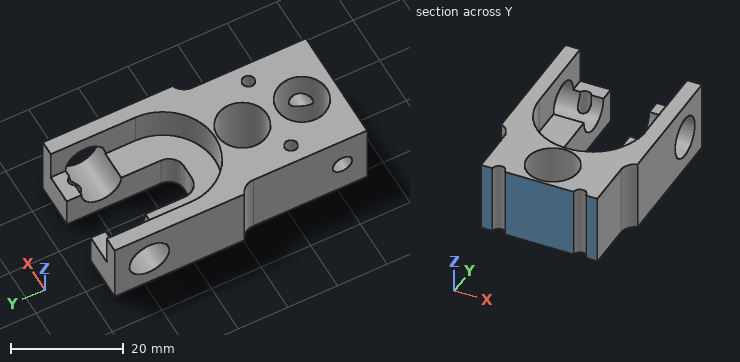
import cadquery as cq
import math

length = 52.0
height = 14.0
fork_width = 27.0
shank_width = 23.0

shoulder_start_y = 23.0
shoulder_radius = 3.0

pocket_width = 21.0
pocket_end_y = 24.5
pocket_floor_z = height / 2

slot_width = 9.0
slot_end_y = 30.0
slot_corner_radius = 3.0
slot_floor_z = 0.0

large_hole_diameter = 10.0
large_hole_ys = (7.0, 19.0)
small_hole_diameter = 2.4
small_hole_spacing_x = 16.0
small_hole_ys = (13.5, 48.5)

cross_hole_z = height / 2
pivot_diameter = 8.0
pivot_y = 45.0
pin_diameter = 3.9
pin_y = 5.0


def make_body():
    half_fork = fork_width / 2
    half_shank = shank_width / 2
    step = half_fork - half_shank
    sweep = math.acos((shoulder_radius - step) / shoulder_radius)
    shoulder_end_y = shoulder_start_y + shoulder_radius * math.sin(sweep)
    arc_center_x = half_shank + shoulder_radius
    arc_mid_x = arc_center_x - shoulder_radius * math.cos(sweep / 2)
    arc_mid_y = shoulder_start_y + shoulder_radius * math.sin(sweep / 2)
    return (
        cq.Workplane("XY")
        .moveTo(-half_shank, 0)
        .lineTo(half_shank, 0)
        .lineTo(half_shank, shoulder_start_y)
        .threePointArc((arc_mid_x, arc_mid_y), (half_fork, shoulder_end_y))
        .lineTo(half_fork, length)
        .lineTo(-half_fork, length)
        .lineTo(-half_fork, shoulder_end_y)
        .threePointArc((-arc_mid_x, arc_mid_y), (-half_shank, shoulder_start_y))
        .close()
        .extrude(height)
    )


def make_open_channel(width, end_y, corner_radius, floor_z):
    """Channel open at the fork end and the top, with rounded corners at its inner end."""
    half = width / 2
    inner_half = half - corner_radius
    straight_y = end_y + corner_radius
    diagonal = corner_radius * math.cos(math.radians(45))
    outline = (
        cq.Workplane("XY", origin=(0, 0, floor_z))
        .moveTo(half, length)
        .lineTo(half, straight_y)
        .threePointArc((inner_half + diagonal, straight_y - diagonal), (inner_half, end_y))
    )
    if inner_half > 0:
        outline = outline.lineTo(-inner_half, end_y)
    return (
        outline
        .threePointArc((-inner_half - diagonal, straight_y - diagonal), (-half, straight_y))
        .lineTo(-half, length)
        .close()
        .extrude(height - floor_z)
    )


def make_vertical_holes(diameter, points):
    return cq.Workplane("XY").pushPoints(points).circle(diameter / 2).extrude(height)


def make_cross_hole(diameter, y):
    return (
        cq.Workplane("YZ")
        .center(y, cross_hole_z)
        .circle(diameter / 2)
        .extrude(fork_width / 2, both=True)
    )


large_hole_points = [(0, y) for y in large_hole_ys]
small_hole_points = [
    (side * small_hole_spacing_x / 2, y) for y in small_hole_ys for side in (-1, 1)
]

result = (
    make_body()
    .cut(make_open_channel(pocket_width, pocket_end_y, pocket_width / 2, pocket_floor_z))
    .cut(make_open_channel(slot_width, slot_end_y, slot_corner_radius, slot_floor_z))
    .cut(make_vertical_holes(large_hole_diameter, large_hole_points))
    .cut(make_vertical_holes(small_hole_diameter, small_hole_points))
    .cut(make_cross_hole(pivot_diameter, pivot_y))
    .cut(make_cross_hole(pin_diameter, pin_y))
)